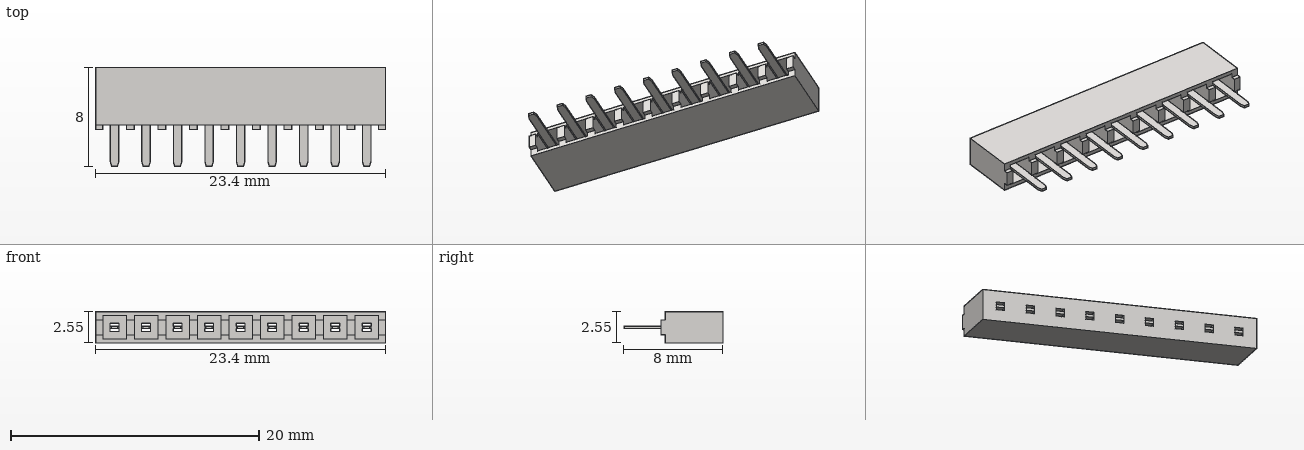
import cadquery as cq

length = 23.35
height = 2.55
block_depth = 4.67
standoff_depth = 0.35
standoff_height = 1.21

pin_count = 9
end_margin = 1.52
pitch = (length - 2 * end_margin) / (pin_count - 1)
pin_positions = [end_margin + i * pitch - length / 2 for i in range(pin_count)]

pocket_size = 1.9
pocket_depth = 2.34
passage_height = 0.65

pin_width = 0.7
pin_thickness = 0.2
total_depth = 8.0
tip_length = 0.37
tip_inset = 0.12

standoff_face = -standoff_depth
mating_face = block_depth
pin_tip = block_depth - total_depth


def box_between(x_center, width, y_front, y_back, box_height):
    """Box centred on x_center and on Z = 0, running from y_front to y_back."""
    box = cq.Workplane("XY").box(width, y_back - y_front, box_height)
    return box.translate((x_center, (y_front + y_back) / 2, 0))


def make_housing():
    """Block with a standoff strip that the pockets divide into short ribs."""
    block = box_between(0, length, 0, mating_face, height)
    strip = box_between(0, length, standoff_face, mating_face, standoff_height)
    body = block.union(strip)
    for x in pin_positions:
        pocket = box_between(x, pocket_size, standoff_face, pocket_depth, pocket_size)
        passage = box_between(x, pin_width, pocket_depth, mating_face, passage_height)
        body = body.cut(pocket).cut(passage)
    return body


def make_pin(x):
    """Flat pin from the mating face to a tip tapered on its two narrow sides."""
    half_width = pin_width / 2
    half_tip = half_width - tip_inset
    shoulder = pin_tip + tip_length
    outline = [
        (-half_width, mating_face),
        (-half_width, shoulder),
        (-half_tip, pin_tip),
        (half_tip, pin_tip),
        (half_width, shoulder),
        (half_width, mating_face),
    ]
    pin = cq.Workplane("XY").polyline(outline).close().extrude(pin_thickness / 2, both=True)
    return pin.translate((x, 0, 0))


housing = make_housing()
pins = [make_pin(x) for x in pin_positions]

result = cq.Compound.makeCompound([housing.val(), *[pin.val() for pin in pins]])